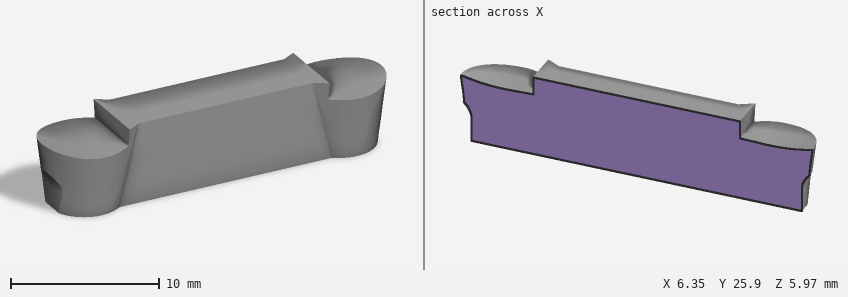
import cadquery as cq
import math

length = 25.9
bulb_width = 6.35
height = 5.97

bar_width = 4.12
step_half_length = 7.61

clearance_angle = 7
neck_angle = 30

seat_height = 4.60
tip_height = 4.97
dish_low_y = 9.80
ledge_angle = 1.8

relief_end = 12.15
relief_flat_height = 1.70
relief_radius = 1.5

half_length = length / 2
wall_slope = math.tan(math.radians(clearance_angle))
seat_radius = bulb_width / 2
base_radius = seat_radius - seat_height * wall_slope
tip_radius = seat_radius + (tip_height - seat_height) * wall_slope
head_center = half_length - tip_radius
clearance = 1.0


def extrude_across(profile):
    """Extrude a closed profile drawn in the YZ plane through the full width."""
    return profile.extrude(bulb_width / 2 + clearance, both=True)


def make_head():
    """Teardrop head: round end and tangent neck sides, widening upwards."""
    angle = math.radians(neck_angle)
    tangent_x = base_radius * math.cos(angle)
    tangent_y = head_center - base_radius * math.sin(angle)
    neck_apex = head_center - base_radius / math.sin(angle)
    return (
        cq.Workplane("XY")
        .moveTo(0, neck_apex)
        .lineTo(tangent_x, tangent_y)
        .threePointArc((0, head_center + base_radius), (-tangent_x, tangent_y))
        .close()
        .extrude(height, taper=-clearance_angle)
    )


def make_seat_cut():
    """Space above the seat: shoulder, gently sloped ledge, then a dish rising to the tip."""
    rise = tip_height - seat_height
    ledge_slope = math.tan(math.radians(ledge_angle))
    run = half_length - dish_low_y
    dish_radius = (run**2 + rise**2) / (2 * rise)
    dish_start = dish_low_y - dish_radius * math.sin(math.radians(ledge_angle))
    dish_end = half_length + clearance
    dish_middle = (dish_start + dish_end) / 2

    def dish_height(y):
        return seat_height + dish_radius - math.sqrt(dish_radius**2 - (y - dish_low_y) ** 2)

    ledge_height = dish_height(dish_start) + (dish_start - step_half_length) * ledge_slope
    top = height + clearance
    profile = (
        cq.Workplane("YZ")
        .moveTo(step_half_length, top)
        .lineTo(step_half_length, ledge_height)
        .lineTo(dish_start, dish_height(dish_start))
        .threePointArc((dish_middle, dish_height(dish_middle)), (dish_end, dish_height(dish_end)))
        .lineTo(dish_end, top)
        .close()
    )
    return extrude_across(profile)


def make_relief_cut():
    """Vertical relief face below the tip, blending outwards in a concave quarter-circle curve."""
    arc_center_y = relief_end + relief_radius
    diagonal = relief_radius * math.sqrt(0.5)
    profile = (
        cq.Workplane("YZ")
        .moveTo(relief_end, -clearance)
        .lineTo(relief_end, relief_flat_height)
        .threePointArc(
            (arc_center_y - diagonal, relief_flat_height + diagonal),
            (arc_center_y, relief_flat_height + relief_radius),
        )
        .lineTo(arc_center_y, -clearance)
        .close()
    )
    return extrude_across(profile)


bar = cq.Workplane("XY").box(bar_width, 2 * head_center, height, centered=(True, True, False))
head = make_head()
end_cut = make_seat_cut().union(make_relief_cut())

result = bar
for turn in (0, 180):
    result = result.union(head.rotate((0, 0, 0), (0, 0, 1), turn))
for turn in (0, 180):
    result = result.cut(end_cut.rotate((0, 0, 0), (0, 0, 1), turn))